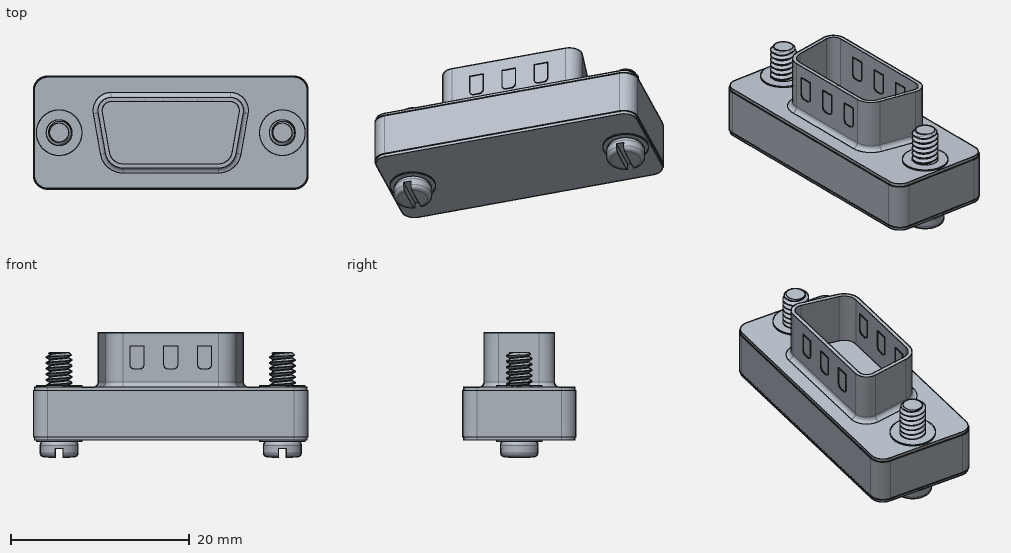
import cadquery as cq
import math

HOUSING_LENGTH = 30.8
HOUSING_WIDTH = 12.7
HOUSING_HEIGHT = 5.95
HOUSING_CORNER_RADIUS = 1.6
RIM_INSET = 0.12
RIM_HEIGHT = 0.37

PAD_RADIUS = 2.55
PAD_THICKNESS = 0.15

SHELL_HEIGHT = 6.1
SHELL_DEPTH = 7.92
SHELL_MID_LENGTH = 15.45
SHELL_WALL = 0.45
SHELL_SIDE_ANGLE = 10.0
WIDE_CORNER_RADIUS = 1.48
NARROW_CORNER_RADIUS = 2.0
FLARE_RADIUS = 0.55

DIMPLE_COUNT = 3
DIMPLE_PITCH = 3.8
DIMPLE_WIDTH = 1.57
DIMPLE_BOTTOM = 2.03
DIMPLE_TOP = 4.62
DIMPLE_CORNER_RADIUS = 0.5
DIMPLE_DEPTH = 0.1

SCREW_SPACING = 25.0
SCREW_RADIUS = 1.45
SCREW_TIP_HEIGHT = 3.88
TIP_CHAMFER = 0.37
THREAD_TURNS = 5
THREAD_TURNS_HEIGHT = 3.17
THREAD_PITCH = THREAD_TURNS_HEIGHT / THREAD_TURNS
THREAD_DEPTH = 0.4
THREAD_START = -0.45
ROOT_FLAT = 0.1
CREST_FLAT = 0.05
GROOVE_OVERSHOOT = 0.05
HEAD_RADIUS = 2.13
HEAD_DROP = 1.97
HEAD_NECK_INSET = 0.2
HEAD_NECK_HEIGHT = 0.45
HEAD_NECK_RADIUS = (HEAD_NECK_INSET**2 + HEAD_NECK_HEIGHT**2) / (2 * HEAD_NECK_INSET)
HEAD_EDGE_RADIUS = 0.45
HEAD_DOME_RISE = 0.1
DOME_EDGE_RADIUS = HEAD_RADIUS - HEAD_EDGE_RADIUS
HEAD_DOME_RADIUS = (DOME_EDGE_RADIUS**2 + HEAD_DOME_RISE**2) / (2 * HEAD_DOME_RISE)
SLOT_WIDTH = 0.83
SLOT_DEPTH = 1.02

HOUSING_BOTTOM = -HOUSING_HEIGHT
PAD_TOP = PAD_THICKNESS
PAD_BOTTOM = HOUSING_BOTTOM - PAD_THICKNESS
HEAD_BOTTOM = HOUSING_BOTTOM - HEAD_DROP
SCREW_PLACES = [(-SCREW_SPACING / 2, 0), (SCREW_SPACING / 2, 0)]


def housing_block(inset, bottom, top):
    """Housing outline moved inwards by inset, between two heights."""
    return (
        cq.Workplane("XY", origin=(0, 0, bottom))
        .rect(HOUSING_LENGTH - 2 * inset, HOUSING_WIDTH - 2 * inset)
        .extrude(top - bottom)
        .edges("|Z")
        .fillet(HOUSING_CORNER_RADIUS - inset)
    )


def screw_cylinders(radius):
    """Cylinders on both screw axes, from the lower pad face to the upper one."""
    return (
        cq.Workplane("XY", origin=(0, 0, PAD_BOTTOM))
        .pushPoints(SCREW_PLACES)
        .circle(radius)
        .extrude(PAD_TOP - PAD_BOTTOM)
    )


def make_housing():
    """Block with stepped rims, pads on both faces and a bore for each screw."""
    core = housing_block(RIM_INSET, HOUSING_BOTTOM, 0)
    band = housing_block(0, HOUSING_BOTTOM + RIM_HEIGHT, -RIM_HEIGHT)
    pads = screw_cylinders(PAD_RADIUS)
    bores = screw_cylinders(SCREW_RADIUS)
    return core.union(band).union(pads).cut(bores)


def shell_prism(inset, bottom, top):
    """D-shaped outline moved inwards by inset, between two heights."""
    side_angle = math.radians(SHELL_SIDE_ANGLE)
    half_depth = SHELL_DEPTH / 2 - inset
    half_middle = SHELL_MID_LENGTH / 2 - inset / math.cos(side_angle)
    lean = half_depth * math.tan(side_angle)
    corners = [
        (-half_middle + lean, -half_depth),
        (half_middle - lean, -half_depth),
        (half_middle + lean, half_depth),
        (-half_middle - lean, half_depth),
    ]
    return (
        cq.Workplane("XY", origin=(0, 0, bottom))
        .polyline(corners)
        .close()
        .extrude(top - bottom)
        .edges("|Z and >Y")
        .fillet(WIDE_CORNER_RADIUS - inset)
        .edges("|Z and <Y")
        .fillet(NARROW_CORNER_RADIUS - inset)
    )


def dimple_row(wall_y):
    """Row of U-shaped cutters that straddle the wall face at wall_y."""
    first_x = -(DIMPLE_COUNT - 1) / 2 * DIMPLE_PITCH
    middle_z = (DIMPLE_BOTTOM + DIMPLE_TOP) / 2
    places = [(first_x + index * DIMPLE_PITCH, wall_y, middle_z) for index in range(DIMPLE_COUNT)]
    return (
        cq.Workplane("XY")
        .pushPoints(places)
        .box(DIMPLE_WIDTH, 2 * DIMPLE_DEPTH, DIMPLE_TOP - DIMPLE_BOTTOM)
        .edges("|Y and <Z")
        .fillet(DIMPLE_CORNER_RADIUS)
    )


def make_shell():
    """Flared tube, open at both ends, with dimples on both faces of its long walls."""
    base = shell_prism(-2 * FLARE_RADIUS, -FLARE_RADIUS, 0)
    post = base.union(shell_prism(0, 0, SHELL_HEIGHT))
    ledge = post.faces(">Z[-2]").val()
    foot_edges = ledge.innerWires()[0].Edges()
    flared = cq.Workplane(post.val().fillet(FLARE_RADIUS, foot_edges))
    shell = flared.cut(base).cut(shell_prism(SHELL_WALL, 0, SHELL_HEIGHT))
    outer_y = SHELL_DEPTH / 2
    inner_y = outer_y - SHELL_WALL
    for wall_y in (-outer_y, -inner_y, inner_y, outer_y):
        shell = shell.cut(dimple_row(wall_y))
    return shell


def thread_groove():
    """Right-handed helical groove with a trapezoidal section."""
    root_radius = SCREW_RADIUS - THREAD_DEPTH
    flank = (THREAD_PITCH - CREST_FLAT - ROOT_FLAT) / 2
    outer_radius = SCREW_RADIUS + GROOVE_OVERSHOOT * THREAD_DEPTH
    outer_half = ROOT_FLAT / 2 + (1 + GROOVE_OVERSHOOT) * flank
    length = SCREW_TIP_HEIGHT - THREAD_START + THREAD_PITCH
    path = cq.Wire.makeHelix(THREAD_PITCH, length, root_radius)
    groove = (
        cq.Workplane("XZ")
        .moveTo(root_radius, -ROOT_FLAT / 2)
        .lineTo(outer_radius, -outer_half)
        .lineTo(outer_radius, outer_half)
        .lineTo(root_radius, ROOT_FLAT / 2)
        .close()
        .sweep(path, isFrenet=True)
    )
    return groove.translate((0, 0, THREAD_START))


def make_screw():
    """Slotted screw on the Z axis: domed head, plain shank and threaded end."""
    head_side_top = PAD_BOTTOM - HEAD_NECK_HEIGHT
    dome_edge = HEAD_BOTTOM + HEAD_DOME_RISE
    bevel = HEAD_EDGE_RADIUS * math.sqrt(0.5)
    screw = (
        cq.Workplane("XZ")
        .moveTo(0, SCREW_TIP_HEIGHT)
        .lineTo(SCREW_RADIUS - TIP_CHAMFER, SCREW_TIP_HEIGHT)
        .lineTo(SCREW_RADIUS, SCREW_TIP_HEIGHT - TIP_CHAMFER)
        .lineTo(SCREW_RADIUS, PAD_BOTTOM)
        .lineTo(HEAD_RADIUS - HEAD_NECK_INSET, PAD_BOTTOM)
        .radiusArc((HEAD_RADIUS, head_side_top), HEAD_NECK_RADIUS)
        .lineTo(HEAD_RADIUS, dome_edge + HEAD_EDGE_RADIUS)
        .threePointArc(
            (DOME_EDGE_RADIUS + bevel, dome_edge + HEAD_EDGE_RADIUS - bevel),
            (DOME_EDGE_RADIUS, dome_edge),
        )
        .radiusArc((0, HEAD_BOTTOM), HEAD_DOME_RADIUS)
        .close()
        .revolve(360, (0, 0, 0), (0, 1, 0))
    )
    slot = (
        cq.Workplane("XY", origin=(0, 0, HEAD_BOTTOM))
        .rect(SLOT_WIDTH, 2 * HEAD_RADIUS)
        .extrude(SLOT_DEPTH)
    )
    return screw.cut(slot).cut(thread_groove())


housing = make_housing()
shell = make_shell()
screw = make_screw()
screws = [screw.translate((x, y, 0)) for x, y in SCREW_PLACES]

result = cq.Compound.makeCompound([housing.val(), shell.val(), *[copy.val() for copy in screws]])